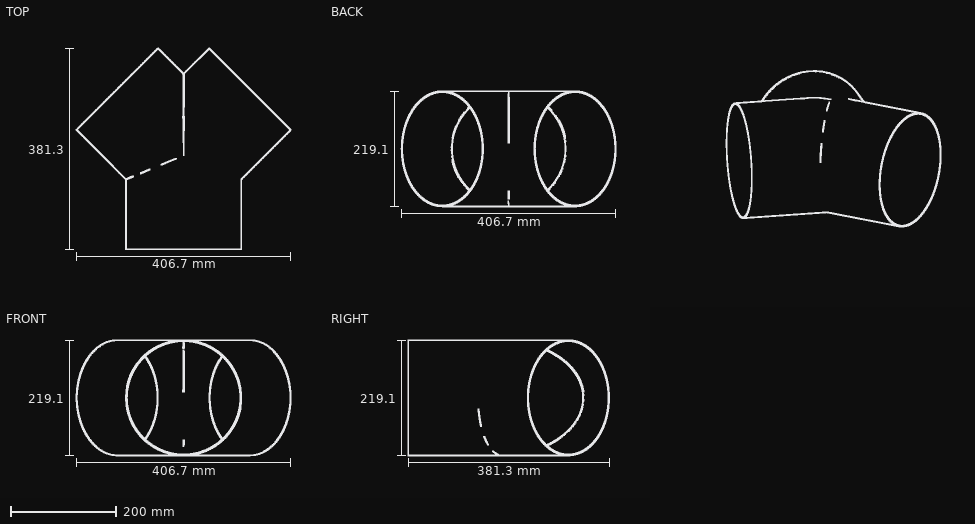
import cadquery as cq

outer_diameter = 219.1
wall_thickness = 2.0
leg_length = 178.0
branch_angle = 45.0
outer_seam_radius = 1.7

outer_radius = outer_diameter / 2
bore_radius = outer_radius - wall_thickness

bore_seam_radius = outer_seam_radius + wall_thickness

leg_angles = (-branch_angle, branch_angle, 180.0)


def leg_cylinder(radius, angle):
    """Solid cylinder from the common point to one open end."""
    along_y = cq.Workplane("XZ").circle(radius).extrude(-leg_length)
    return along_y.rotate((0, 0, 0), (0, 0, 1), angle)


def wye_body(radius, seam_radius):
    """Three solid legs joined at the common point, with their elliptical seams filleted."""
    first_angle, *other_angles = leg_angles
    body = leg_cylinder(radius, first_angle)
    for angle in other_angles:
        body = body.union(leg_cylinder(radius, angle))
    return body.edges("%ELLIPSE").fillet(seam_radius)


outer_body = wye_body(outer_radius, outer_seam_radius)
bore_body = wye_body(bore_radius, bore_seam_radius)
result = outer_body.cut(bore_body)